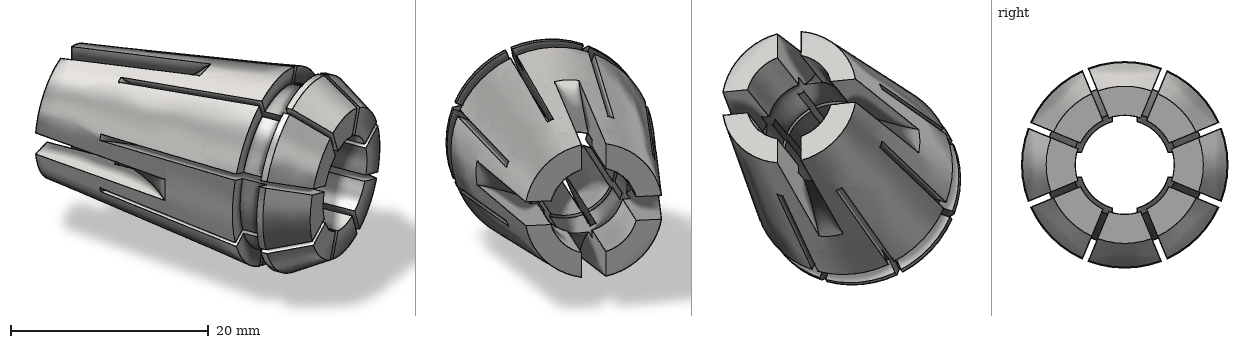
import cadquery as cq
import math

total_length = 31.5
body_length = 23.95
neck_end = 26.65
nose_rim_end = 27.35
body_end_radius = 10.45
body_taper_angle = 8.0
neck_radius = 8.68
nose_radius = 10.35
nose_taper_angle = 30.0

entry_bore_radius = 4.55
relief_bore_radius = 5.3
nose_bore_radius = 5.0
relief_start = 8.0
relief_end = 16.0

cutter_radius = 18.5
cut_bottom_radius = 3.4
cutter_axis_radius = cut_bottom_radius + cutter_radius
clearance = 1.0

slot_count = 4
slot_width = 2.5
slot_exit_x = 15.8

slit_count = 8
slit_width = 0.65
slit_exit_x = 7.58


def body_radius(x):
    """Radius of the body cone at a distance x along the axis."""
    return body_end_radius - (body_length - x) * math.tan(math.radians(body_taper_angle))


def revolved(outline):
    """Solid of revolution about the X axis from (x, radius) points."""
    return cq.Workplane("XZ").polyline(outline).close().revolve(360, (0, 0, 0), (1, 0, 0))


def turned_body():
    nose_drop = (total_length - nose_rim_end) * math.tan(math.radians(nose_taper_angle))
    return revolved([
        (0, 0),
        (0, body_radius(0)),
        (body_length, body_end_radius),
        (body_length, neck_radius),
        (neck_end, neck_radius),
        (neck_end, nose_radius),
        (nose_rim_end, nose_radius),
        (total_length, nose_radius - nose_drop),
        (total_length, 0),
    ])


def stepped_bore():
    return revolved([
        (0, 0),
        (0, entry_bore_radius),
        (relief_start, entry_bore_radius),
        (relief_start, relief_bore_radius),
        (relief_end, relief_bore_radius),
        (relief_end, nose_bore_radius),
        (total_length, nose_bore_radius),
        (total_length, 0),
    ])


def saw_cut(exit_x, open_end_x, width):
    """Cut on the +Z side, open at open_end_x and closed by an arc floor that runs out at exit_x."""
    toward_exit = math.copysign(1, exit_x - open_end_x)
    exit_radius = body_radius(exit_x)
    exit_height = cutter_axis_radius - exit_radius
    cutter_x = exit_x - toward_exit * math.sqrt(cutter_radius**2 - exit_height**2)
    half_arc_angle = math.acos(exit_height / cutter_radius) / 2
    arc_middle = (
        cutter_x + toward_exit * cutter_radius * math.sin(half_arc_angle),
        cutter_axis_radius - cutter_radius * math.cos(half_arc_angle),
    )
    open_x = open_end_x - toward_exit * clearance
    outer_radius = body_end_radius + clearance
    return (
        cq.Workplane("XZ")
        .moveTo(open_x, cut_bottom_radius)
        .lineTo(cutter_x, cut_bottom_radius)
        .threePointArc(arc_middle, (exit_x, exit_radius))
        .lineTo(exit_x, outer_radius)
        .lineTo(open_x, outer_radius)
        .close()
        .extrude(width / 2, both=True)
    )


def cut_around(body, cut, count, first_angle):
    """Remove copies of a cut, evenly spaced around the X axis."""
    for index in range(count):
        angle = first_angle + index * 360 / count
        body = body.cut(cut.rotate((0, 0, 0), (1, 0, 0), angle))
    return body


slot = saw_cut(slot_exit_x, 0, slot_width)
slit = saw_cut(slit_exit_x, total_length, slit_width)
first_slit_angle = 360 / slit_count / 2

collet = turned_body().cut(stepped_bore())
collet = cut_around(collet, slot, slot_count, 0)
result = cut_around(collet, slit, slit_count, first_slit_angle)